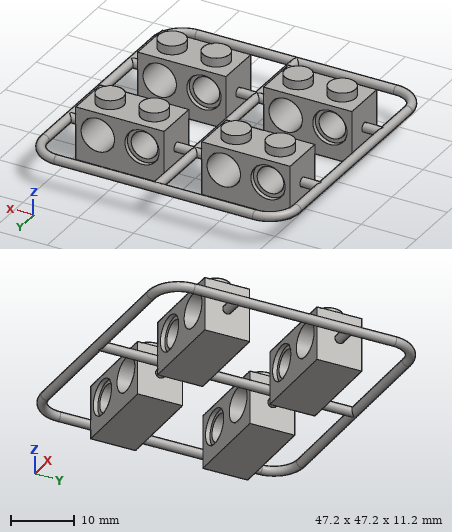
import cadquery as cq

FRAME_SIDE = 47.2
ROD_DIAMETER = 1.6
CORNER_RADIUS = 4.8

BRICK_LENGTH = 16.0
BRICK_HEIGHT = 9.6
STUD_DIAMETER = 4.8
STUD_HEIGHT = 1.6

HOLE_HEIGHT = 5.55
PIN_HOLE_DIAMETER = 4.8
COUNTERBORE_DIAMETER = 6.2
COUNTERBORE_DEPTH = 0.8
WIDE_HOLE_DIAMETER = 6.05

ROD_HEIGHT = 4.75
ROW_SPACING = 20.0

rod_radius = ROD_DIAMETER / 2
rod_axis_side = FRAME_SIDE - ROD_DIAMETER
rod_axis_half = rod_axis_side / 2
column_spacing = rod_axis_half
columns = [-column_spacing / 2, column_spacing / 2]
rows = [-ROW_SPACING / 2, ROW_SPACING / 2]
module = BRICK_LENGTH / 2
brick_width = module
stud_offset = module / 2
brick_bottom = -ROD_HEIGHT


def make_outer_ring():
    """Round rod swept along a square with rounded corners."""
    square = cq.Workplane("XY").rect(rod_axis_side, rod_axis_side).val()
    centreline = square.fillet2D(CORNER_RADIUS, square.Vertices())
    return (
        cq.Workplane("XZ", origin=(rod_axis_half, 0, 0))
        .circle(rod_radius)
        .sweep(centreline)
    )


def make_centre_rod():
    """Rod along Y that joins the middles of the two opposite sides."""
    return cq.Workplane("XZ").circle(rod_radius).extrude(rod_axis_half, both=True)


def make_runner(x_start, x_end, y):
    """Short rod along X from a frame rod to the end face of a brick."""
    return (
        cq.Workplane("YZ", origin=(x_start, y, 0))
        .circle(rod_radius)
        .extrude(x_end - x_start)
    )


def make_frame():
    frame = make_outer_ring().union(make_centre_rod())
    runner_length = (column_spacing - BRICK_LENGTH) / 2
    for y in rows:
        for x in columns:
            left_rod = x - column_spacing / 2
            right_rod = x + column_spacing / 2
            frame = frame.union(make_runner(left_rod, left_rod + runner_length, y))
            frame = frame.union(make_runner(right_rod - runner_length, right_rod, y))
    return frame


def y_cylinder(diameter, x, y_start, y_end):
    """Cylinder along +Y at the height of the brick's holes."""
    return (
        cq.Workplane("XZ", origin=(x, y_start, HOLE_HEIGHT))
        .circle(diameter / 2)
        .extrude(y_start - y_end)
    )


def make_brick():
    """Brick with its underside on Z = 0 and centred on the Z axis."""
    front = -brick_width / 2
    back = brick_width / 2
    body = cq.Workplane("XY").box(
        BRICK_LENGTH, brick_width, BRICK_HEIGHT, centered=(True, True, False)
    )
    studs = (
        cq.Workplane("XY", origin=(0, 0, BRICK_HEIGHT))
        .pushPoints([(-stud_offset, 0), (stud_offset, 0)])
        .circle(STUD_DIAMETER / 2)
        .extrude(STUD_HEIGHT)
    )
    pin_hole = y_cylinder(PIN_HOLE_DIAMETER, -stud_offset, front, back)
    front_counterbore = y_cylinder(
        COUNTERBORE_DIAMETER, -stud_offset, front, front + COUNTERBORE_DEPTH
    )
    back_counterbore = y_cylinder(
        COUNTERBORE_DIAMETER, -stud_offset, back - COUNTERBORE_DEPTH, back
    )
    wide_hole = y_cylinder(WIDE_HOLE_DIAMETER, stud_offset, front, back)
    brick = body.union(studs)
    for hole in (pin_hole, front_counterbore, back_counterbore, wide_hole):
        brick = brick.cut(hole)
    return brick


frame = make_frame()
bricks = [make_brick().translate((x, y, brick_bottom)) for y in rows for x in columns]

result = cq.Compound.makeCompound([frame.val(), *(brick.val() for brick in bricks)])